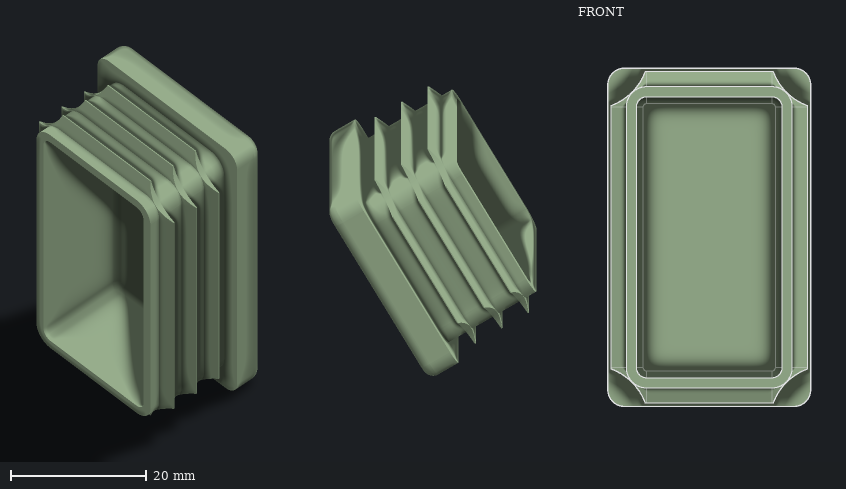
import cadquery as cq
import math


cap_width = 30.0
cap_height = 50.0
cap_thickness = 5.0
cap_corner_radius = 2.5
cap_edge_fillet = 1.5

total_depth = 20.0
body_width = 24.5
body_height = 44.5
body_corner_radius = 3.0
wall = 1.5
cavity_depth = 15.0
cavity_floor_fillet = 1.0

fin_count = 3
first_fin_offset = 8.1
fin_pitch = 4.55
fin_reach = 2.25
fin_root_thickness = 1.0
fin_tip_thickness = 0.15
scallop_radius = 8.5
scallop_clearance = 0.05

cap_face_y = total_depth / 2
open_end_y = -total_depth / 2


def section(y):
    """XZ workplane at the given Y; extrusions from it run towards -Y."""
    return cq.Workplane("XZ", origin=(0, y, 0))


def rounded_outline(width, height, radius):
    return cq.Sketch().rect(width, height).vertices().fillet(radius)


def rounded_block(width, height, radius, start_y, length):
    outline = rounded_outline(width, height, radius)
    return section(start_y).placeSketch(outline).extrude(length)


def make_cap():
    cap = rounded_block(cap_width, cap_height, cap_corner_radius, cap_face_y, cap_thickness)
    return cap.faces(">Y").edges().fillet(cap_edge_fillet)


def make_body():
    start_y = cap_face_y - cap_thickness
    return rounded_block(body_width, body_height, body_corner_radius, start_y, start_y - open_end_y)


def make_cavity():
    cavity = rounded_block(
        body_width - 2 * wall,
        body_height - 2 * wall,
        body_corner_radius - wall,
        open_end_y + cavity_depth,
        cavity_depth,
    )
    return cavity.faces(">Y").edges().fillet(cavity_floor_fillet)


def make_fin(flat_y):
    """Fin ring with a flat side at flat_y, sloping down to the body towards -Y."""
    tip_width = body_width + 2 * fin_reach
    tip_height = body_height + 2 * fin_reach
    tip_radius = body_corner_radius + fin_reach
    rim = rounded_block(tip_width, tip_height, tip_radius, flat_y, fin_tip_thickness)

    tip_outline = rounded_outline(tip_width, tip_height, tip_radius)
    root_outline = rounded_outline(body_width, body_height, body_corner_radius)
    slope_length = fin_root_thickness - fin_tip_thickness
    slope = (
        section(flat_y - fin_tip_thickness)
        .placeSketch(tip_outline, root_outline.moved(cq.Location(cq.Vector(0, 0, slope_length))))
        .loft(ruled=True)
    )

    corner_to_scallop = body_corner_radius + scallop_clearance + scallop_radius
    diagonal_step = corner_to_scallop / math.sqrt(2)
    scallop_x = body_width / 2 - body_corner_radius + diagonal_step
    scallop_z = body_height / 2 - body_corner_radius + diagonal_step
    scallops = (
        section(flat_y)
        .rect(2 * scallop_x, 2 * scallop_z, forConstruction=True)
        .vertices()
        .circle(scallop_radius)
        .extrude(fin_root_thickness)
    )
    return rim.union(slope).cut(scallops)


result = make_cap().union(make_body())
for fin_index in range(fin_count):
    fin_offset = first_fin_offset + fin_index * fin_pitch
    result = result.union(make_fin(cap_face_y - fin_offset))
result = result.cut(make_cavity())